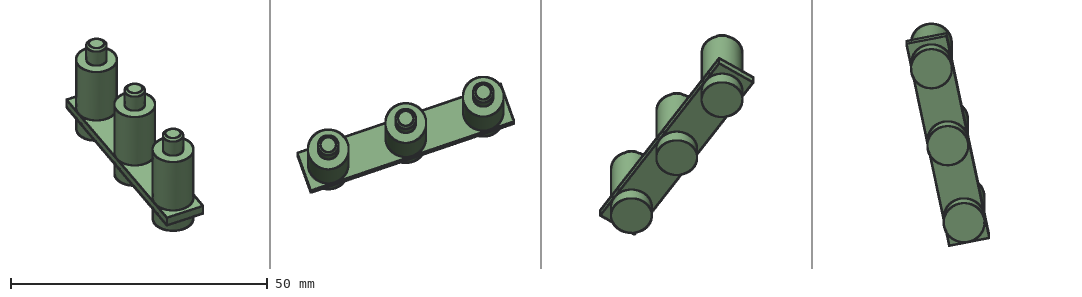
import cadquery as cq

plate_length = 42.0
plate_width = 8.0
plate_thickness = 1.9

post_count = 3
post_spacing = 16.0
post_diameter = plate_width
post_below_plate = 3.2
post_above_plate = 12.0
post_height = post_below_plate + plate_thickness + post_above_plate

pin_diameter = 4.0
pin_height = 4.0
pin_chamfer = 0.5


def make_plate():
    """Flat bar centred on X and Y, raised above the post feet at Z = 0."""
    return (
        cq.Workplane("XY")
        .workplane(offset=post_below_plate)
        .rect(plate_length, plate_width)
        .extrude(plate_thickness)
    )


def make_post(x):
    """Round post standing on Z = 0 with a narrower chamfered pin on top."""
    body = cq.Workplane("XY").center(x, 0).circle(post_diameter / 2).extrude(post_height)
    pin = (
        cq.Workplane("XY")
        .workplane(offset=post_height)
        .center(x, 0)
        .circle(pin_diameter / 2)
        .extrude(pin_height)
        .faces(">Z")
        .chamfer(pin_chamfer)
    )
    return body.union(pin)


result = make_plate()
for index in range(post_count):
    post_x = (index - (post_count - 1) / 2) * post_spacing
    result = result.union(make_post(post_x))